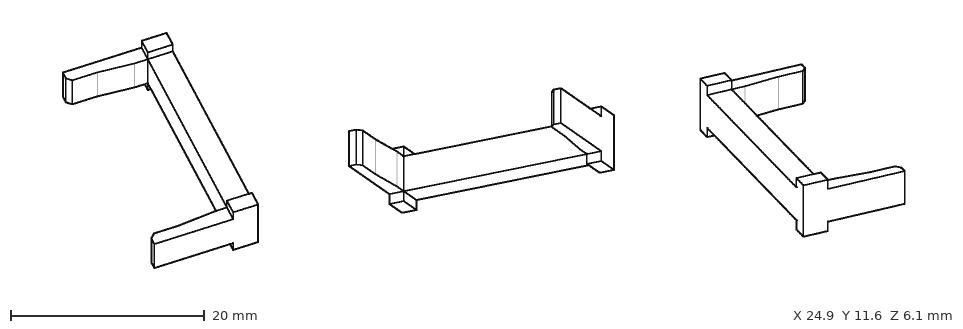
import cadquery as cq

length = 24.9
depth = 11.6
height = 6.1

bar_depth = 2.8
bar_height = 3.9
block_width = 1.7

straight_root_length = 1.5
taper_length = 4.0
tip_width = 1.35
lead_in = 0.5

outer_x = length / 2
block_inner_x = outer_x - block_width
tip_inner_x = outer_x - tip_width
bar_front_y = -bar_depth
taper_start_y = bar_front_y - straight_root_length
taper_end_y = taper_start_y - taper_length
tip_y = -depth


def cross_bar():
    return cq.Workplane("XY").box(length, bar_depth, bar_height).translate((0, -bar_depth / 2, 0))


def end_block():
    """Taller block at the +X end of the bar."""
    center_x = outer_x - block_width / 2
    return cq.Workplane("XY").box(block_width, bar_depth, height).translate((center_x, -bar_depth / 2, 0))


def arm():
    """Arm at the +X end: flat outside, tapered inside, bevelled at the tip."""
    outline = [
        (outer_x, 0),
        (block_inner_x, 0),
        (block_inner_x, taper_start_y),
        (tip_inner_x, taper_end_y),
        (tip_inner_x, tip_y + lead_in),
        (tip_inner_x + lead_in, tip_y),
        (outer_x, tip_y),
    ]
    return cq.Workplane("XY").polyline(outline).close().extrude(bar_height / 2, both=True)


right_end = end_block().union(arm())
left_end = right_end.mirror("YZ")
result = cross_bar().union(right_end).union(left_end).clean()